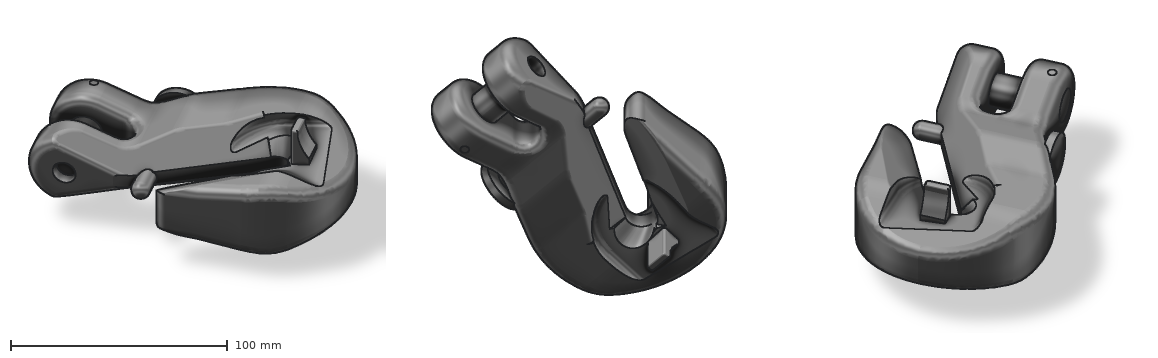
import cadquery as cq
import math

LENGTH = 149.6
EYE_RADIUS = 18.5
NECK = (45.2, 10.6)
SHANK_START = (65.0, 15.1)
SHANK_END = (85.2, 15.1)
CREST = (121.4, 19.6)
NOSE_HALF_HEIGHT = 10.3
NECK_BLEND = 17.0
SHANK_START_BLEND = 22.5
SHANK_END_BLEND = 28.5
CREST_BLEND = 28.5

CLEVIS_HALF_WIDTH = 27.1
BOW_RADIUS = 48.0
BOW_CENTER_X = LENGTH - BOW_RADIUS
BOW_SLOPE = 27.0
SHOULDER_BLEND = 25.0
BELLY_RADIUS = 42.8
BELLY_CENTER_X = LENGTH - BELLY_RADIUS
TIP_BOTTOM = (72.1, -44.0)
LOWER_CLEVIS_END_X = 42.2
BLANK_CORNER_X = 53.9
RIM_RADIUS = 5.8

GAP_HALF_WIDTH = 7.5
GAP_LENGTH = 44.1
GAP_RIM_RADIUS = 5.0

THROAT_ANGLE = 28.4
THROAT_CENTER = (111.8, 0.1)
THROAT_RADIUS = 7.6
THROAT_MOUTH_TOP = 57.3
THROAT_MOUTH_BOTTOM = 47.3
CLEVIS_HEEL_MID = (50.7, -24.5)
TIP_NOSE_RADIUS = 5.7
TIP_NOSE_SPAN = 120.0

SHANK_BEVEL_POINT = (60.9, -18.7, 3.5)
SHANK_BEVEL_RISE = (-0.36, 0.68)
TIP_BEVEL_POINT = (74.8, -27.5, 4.8)
TIP_BEVEL_RISE = (0.36, -0.51)
TIP_BEVEL_EAST = 5.2
SHANK_BEVEL_RADIUS = 3.7
TIP_BEVEL_RADIUS = 1.5

SHANK_RIM_BOX = ((0, -30, 5.2), (95.8, 30, 22.5))
TIP_RIM_BOX = ((70.3, -44.9, 11.2), (124.2, -15, 22.5))

FLARE_LOW_CENTER = (112.1, -3.0)
FLARE_LOW_RADIUS = 6.3
FLARE_HIGH_Z = 13.5
FLARE_CENTER = (111.0, 7.2)
FLARE_RADIUS = 10.5

SEAT_RADIUS = 23.3
SEAT_CENTER_X = 112.2
SEAT_FLOOR_POINT = (138.5, 0.0, 14.5)
SEAT_FLOOR_RISE = (0.18, 0.1)
SEAT_COVE = 3.3

FIN_HEIGHT = 30.0
FIN_FRONT_X = 121.0
FIN_TOP_THICKNESS = 3.7
FIN_FLARE_START_Z = 26.6
FIN_FLARE_MID = (126.2, 22.1)
FIN_BACK = (130.2, 15.7)
FIN_WIDTH = 12.0
FIN_Y = 0.5
FIN_EDGE_RADIUS = 1.6
FIN_TOP_RADIUS = 0.9

LOAD_PIN_DIAMETER = 16.3
LOAD_PIN_INNER_END = -21.0
DRIFT_HOLE_DIAMETER = 11.0
RETAINER_DIAMETER = 4.0
RETAINER_Y = 20.8
PLUNGER_X = 56.3
PLUNGER_HEAD_DIAMETER = 26.0
PLUNGER_HEAD_Y = 31.5
PLUNGER_HEAD_THICKNESS = 4.2
PLUNGER_SHANK_DIAMETER = 12.0
PLUNGER_STEP_Y = 4.5
PLUNGER_NOSE_DIAMETER = 9.0
PLUNGER_NOSE_END = -34.3

BIG = 299.3


def along_y(x, diameter, y_start, y_end):
    plane = cq.Plane(origin=(x, y_start, 0), xDir=(1, 0, 0), normal=(0, 1, 0))
    return cq.Workplane(plane).circle(diameter / 2).extrude(y_end - y_start)


def above_plane(point, rise):
    plane = cq.Plane(origin=point, normal=(-rise[0], -rise[1], 1))
    return cq.Workplane(plane).rect(2 * BIG, 2 * BIG).extrude(BIG)


def side_profile():
    """Side shape of the hook: a round eye, a necked shank and a swelling towards the bow."""
    slope = math.atan2(NECK[1], NECK[0] - EYE_RADIUS)
    reach = math.hypot(NECK[0] - EYE_RADIUS, NECK[1])
    tangent_angle = slope + math.acos(EYE_RADIUS / reach)
    tangent = (
        EYE_RADIUS + EYE_RADIUS * math.cos(tangent_angle),
        EYE_RADIUS * math.sin(tangent_angle),
    )
    upper = [tangent, NECK, SHANK_START, SHANK_END, CREST, (LENGTH, NOSE_HALF_HEIGHT)]
    lower = [(x, -z) for x, z in reversed(upper)]
    body = (
        cq.Workplane("XZ")
        .polyline(upper + lower)
        .threePointArc((0, 0), tangent)
        .close()
        .extrude(BIG / 2, both=True)
    )
    blends = [
        (NECK, NECK_BLEND),
        (SHANK_START, SHANK_START_BLEND),
        (SHANK_END, SHANK_END_BLEND),
        (CREST, CREST_BLEND),
    ]
    for (x, z), radius in blends:
        for side in (z, -z):
            corner = cq.selectors.NearestToPointSelector((x, 0, side))
            body = body.edges(corner).fillet(radius)
    return body


def belly_tangent_point():
    """Point where the straight line from the tip runs smoothly into the belly arc."""
    dx = TIP_BOTTOM[0] - BELLY_CENTER_X
    dy = TIP_BOTTOM[1]
    angle = math.atan2(dy, dx) + math.acos(BELLY_RADIUS / math.hypot(dx, dy))
    return (BELLY_CENTER_X + BELLY_RADIUS * math.cos(angle), BELLY_RADIUS * math.sin(angle))


def plan_outline():
    """Plan shape of the blank, with the throat still filled in."""
    slope = math.radians(BOW_SLOPE)
    bow_start = (BOW_CENTER_X - BOW_RADIUS * math.sin(slope), BOW_RADIUS * math.cos(slope))
    shoulder_x = bow_start[0] - (bow_start[1] - CLEVIS_HALF_WIDTH) / math.tan(slope)
    half = math.sqrt(0.5)
    belly_end = belly_tangent_point()
    belly_rise = (belly_end[1] - TIP_BOTTOM[1]) / (belly_end[0] - TIP_BOTTOM[0])
    blank_corner = (BLANK_CORNER_X, TIP_BOTTOM[1] + belly_rise * (BLANK_CORNER_X - TIP_BOTTOM[0]))
    body = (
        cq.Workplane("XY", origin=(0, 0, -BIG / 2))
        .moveTo(0, CLEVIS_HALF_WIDTH)
        .lineTo(shoulder_x, CLEVIS_HALF_WIDTH)
        .lineTo(*bow_start)
        .threePointArc((BOW_CENTER_X + BOW_RADIUS * half, BOW_RADIUS * half), (LENGTH, 0))
        .threePointArc((BELLY_CENTER_X + BELLY_RADIUS * half, -BELLY_RADIUS * half), belly_end)
        .lineTo(*blank_corner)
        .lineTo(BLANK_CORNER_X, -CLEVIS_HALF_WIDTH)
        .lineTo(0, -CLEVIS_HALF_WIDTH)
        .close()
        .extrude(BIG)
    )
    shoulder = cq.selectors.NearestToPointSelector((shoulder_x, CLEVIS_HALF_WIDTH, 0))
    return body.edges(shoulder).fillet(SHOULDER_BLEND)


def clevis_gap():
    return (
        cq.Workplane("XY", origin=(0, 0, -BIG / 2))
        .moveTo(-GAP_HALF_WIDTH, -GAP_HALF_WIDTH)
        .lineTo(GAP_LENGTH - GAP_HALF_WIDTH, -GAP_HALF_WIDTH)
        .threePointArc((GAP_LENGTH, 0), (GAP_LENGTH - GAP_HALF_WIDTH, GAP_HALF_WIDTH))
        .lineTo(-GAP_HALF_WIDTH, GAP_HALF_WIDTH)
        .close()
        .extrude(BIG)
    )


def blank():
    body = side_profile().intersect(plan_outline())
    body = body.edges("not (|Y or |Z)").fillet(RIM_RADIUS)
    body = body.cut(clevis_gap())
    gap_walls = cq.selectors.BoxSelector(
        (-1.5, -GAP_HALF_WIDTH - 0.1, -BIG),
        (GAP_LENGTH + 0.1, GAP_HALF_WIDTH + 0.1, BIG),
        boundingbox=True,
    )
    return body.edges(gap_walls).edges("not |Z").fillet(GAP_RIM_RADIUS)


def throat_frame():
    return cq.Workplane("XY", origin=(*THROAT_CENTER, -BIG / 2)).transformed(rotate=(0, 0, THROAT_ANGLE))


def throat_point(along, across):
    angle = math.radians(THROAT_ANGLE)
    return (
        THROAT_CENTER[0] + along * math.cos(angle) - across * math.sin(angle),
        THROAT_CENTER[1] + along * math.sin(angle) + across * math.cos(angle),
    )


def tip_nose_point(angle):
    """Point on the round nose of the tip, at an angle measured from its lowest point."""
    turn = math.radians(angle)
    return (
        TIP_BOTTOM[0] - TIP_NOSE_RADIUS * math.sin(turn),
        TIP_BOTTOM[1] + TIP_NOSE_RADIUS * (1 - math.cos(turn)),
    )


def throat():
    outside_y = 1.5 * TIP_BOTTOM[1]
    return (
        cq.Workplane("XY", origin=(0, 0, -BIG / 2))
        .moveTo(LOWER_CLEVIS_END_X, -CLEVIS_HALF_WIDTH)
        .threePointArc(CLEVIS_HEEL_MID, throat_point(-THROAT_MOUTH_TOP, THROAT_RADIUS))
        .lineTo(*throat_point(0, THROAT_RADIUS))
        .threePointArc(throat_point(THROAT_RADIUS, 0), throat_point(0, -THROAT_RADIUS))
        .lineTo(*throat_point(-THROAT_MOUTH_BOTTOM, -THROAT_RADIUS))
        .tangentArcPoint(tip_nose_point(TIP_NOSE_SPAN), relative=False)
        .threePointArc(tip_nose_point(TIP_NOSE_SPAN / 2), TIP_BOTTOM)
        .lineTo(TIP_BOTTOM[0], outside_y)
        .lineTo(LOWER_CLEVIS_END_X, outside_y)
        .close()
        .extrude(BIG)
    )


def shank_bevel():
    side = throat_frame().rect(-BIG, BIG / 2, centered=False).extrude(BIG)
    return above_plane(SHANK_BEVEL_POINT, SHANK_BEVEL_RISE).intersect(side)


def tip_bevel():
    side = (
        throat_frame()
        .center(TIP_BEVEL_EAST, 0)
        .rect(-BIG, -BIG / 2, centered=False)
        .extrude(BIG)
    )
    return above_plane(TIP_BEVEL_POINT, TIP_BEVEL_RISE).intersect(side)


def throat_flare():
    """Leaning cone that widens the closed end of the throat towards the seat."""
    return (
        cq.Workplane("XY", origin=(*FLARE_LOW_CENTER, 0))
        .circle(FLARE_LOW_RADIUS)
        .workplane(offset=FLARE_HIGH_Z)
        .center(FLARE_CENTER[0] - FLARE_LOW_CENTER[0], FLARE_CENTER[1] - FLARE_LOW_CENTER[1])
        .circle(FLARE_RADIUS)
        .loft(ruled=True)
    )


def chain_seat():
    """Round-ended recess with a tilted floor and a coved foot."""
    outline = (
        cq.Workplane("XY")
        .moveTo(LENGTH, -SEAT_RADIUS)
        .lineTo(SEAT_CENTER_X, -SEAT_RADIUS)
        .threePointArc((SEAT_CENTER_X - SEAT_RADIUS, 0), (SEAT_CENTER_X, SEAT_RADIUS))
        .lineTo(LENGTH, SEAT_RADIUS)
        .close()
        .extrude(BIG / 4)
    )
    seat = outline.intersect(above_plane(SEAT_FLOOR_POINT, SEAT_FLOOR_RISE))
    return seat.faces("<Z").edges().fillet(SEAT_COVE)


def fin():
    top_back_x = FIN_FRONT_X + FIN_TOP_THICKNESS
    body = (
        cq.Workplane("XZ", origin=(0, FIN_Y, 0))
        .moveTo(FIN_FRONT_X, 0)
        .lineTo(FIN_FRONT_X, FIN_HEIGHT)
        .lineTo(top_back_x, FIN_HEIGHT)
        .lineTo(top_back_x, FIN_FLARE_START_Z)
        .threePointArc(FIN_FLARE_MID, FIN_BACK)
        .lineTo(FIN_BACK[0], 0)
        .close()
        .extrude(FIN_WIDTH / 2, both=True)
    )
    body = body.faces("<X").edges("|Z").fillet(FIN_EDGE_RADIUS)
    return body.faces(">Z").edges().fillet(FIN_TOP_RADIUS)


def round_bevel_edges(body, rise, low_corner, high_corner, radius):
    """Round the edges inside a box on a slanted face, then on its mirror image below."""
    for side in (1, -1):
        face_normal = cq.Vector(-rise[0], -rise[1], side)
        z_range = sorted((side * low_corner[2], side * high_corner[2]))
        box = cq.selectors.BoxSelector((*low_corner[:2], z_range[0]), (*high_corner[:2], z_range[1]))
        body = body.faces(cq.selectors.ParallelDirSelector(face_normal)).edges(box).fillet(radius)
    return body


def cut_both_sides(body, cutter):
    return body.cut(cutter).cut(cutter.mirror("XY"))


def hook():
    body = blank().cut(throat())
    body = cut_both_sides(body, shank_bevel())
    body = round_bevel_edges(body, SHANK_BEVEL_RISE, *SHANK_RIM_BOX, SHANK_BEVEL_RADIUS)
    body = cut_both_sides(body, tip_bevel())
    body = round_bevel_edges(body, TIP_BEVEL_RISE, *TIP_RIM_BOX, TIP_BEVEL_RADIUS)
    body = cut_both_sides(body, throat_flare())
    body = cut_both_sides(body, chain_seat())
    body = body.union(fin()).union(fin().mirror("XY"))
    for bore in (load_pin_blank(), drift_hole(), retainer(), plunger(), plunger_head_recess()):
        body = body.cut(bore)
    return body


def load_pin_blank():
    return along_y(EYE_RADIUS, LOAD_PIN_DIAMETER, LOAD_PIN_INNER_END, CLEVIS_HALF_WIDTH)


def drift_hole():
    return along_y(EYE_RADIUS, DRIFT_HOLE_DIAMETER, -CLEVIS_HALF_WIDTH, LOAD_PIN_INNER_END)


def retainer():
    """Upright pin that runs through the clevis cheek and the load pin, flush with the eye."""
    blank_pin = (
        cq.Workplane("XY", origin=(EYE_RADIUS, RETAINER_Y, -EYE_RADIUS))
        .circle(RETAINER_DIAMETER / 2)
        .extrude(2 * EYE_RADIUS)
    )
    eye = along_y(EYE_RADIUS, 2 * EYE_RADIUS, 0, CLEVIS_HALF_WIDTH)
    return blank_pin.intersect(eye)


def load_pin():
    return load_pin_blank().cut(retainer())


def plunger():
    """Locking plunger: a flat head, a stepped shank and a ball-shaped nose."""
    head_end = PLUNGER_HEAD_Y + PLUNGER_HEAD_THICKNESS
    nose_base = PLUNGER_NOSE_END + PLUNGER_NOSE_DIAMETER / 2
    head = along_y(PLUNGER_X, PLUNGER_HEAD_DIAMETER, PLUNGER_HEAD_Y, head_end)
    shank = along_y(PLUNGER_X, PLUNGER_SHANK_DIAMETER, PLUNGER_STEP_Y, PLUNGER_HEAD_Y)
    nose = along_y(PLUNGER_X, PLUNGER_NOSE_DIAMETER, nose_base, PLUNGER_STEP_Y)
    ball = cq.Workplane("XY", origin=(PLUNGER_X, nose_base, 0)).sphere(PLUNGER_NOSE_DIAMETER / 2)
    return head.union(shank).union(nose).union(ball)


def plunger_head_recess():
    return along_y(PLUNGER_X, PLUNGER_HEAD_DIAMETER, PLUNGER_HEAD_Y, 2 * PLUNGER_HEAD_Y)


result = cq.Compound.makeCompound(
    [*hook().vals(), *load_pin().vals(), *retainer().vals(), *plunger().vals()]
)